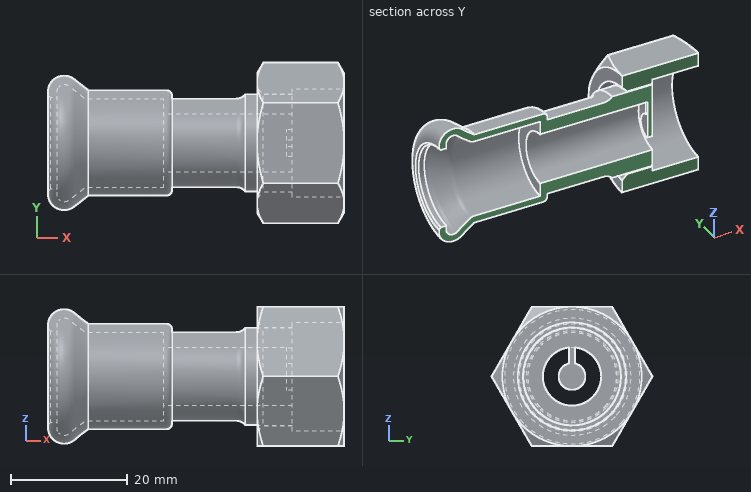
import cadquery as cq
import math

AXIS_START = (0, 0, 0)
AXIS_END = (1, 0, 0)

wall = 1.5
bead_radius = 11.6
bead_tube_radius = 2.8
cone_angle = math.radians(38)
mouth_radius = 15.8 / 2
mouth_chamfer = 0.4
socket_outer_radius = 18.2 / 2
socket_bore_radius = 15.2 / 2
socket_end = 21.4
socket_fillet = 1.0
neck_radius = 15.3 / 2
bore_radius = 10 / 2
collar_radius = 16.8 / 2
collar_start = 34.0
collar_blend_radius = 2.0
depth_in_nut = 6.0

pin_radius = 2.32
pin_length = 1.0
web_width = 1.1
web_overlap = 0.3

nut_start = 36.0
nut_length = 15.0
nut_across_flats = 24.0
nut_chamfer_angle = math.radians(30)
nut_hole_radius = 16.9 / 2
nut_hole_chamfer = 1.0
thread_bore_radius = 18.63 / 2

nut_end = nut_start + nut_length
fitting_end = nut_start + depth_in_nut


def revolve_about_x(outline):
    return outline.close().revolve(360, AXIS_START, AXIS_END)


def point_on_circle(center, radius, angle):
    """Point (X, radial distance); the angle starts radially outward and grows towards +X."""
    return (center[0] + radius * math.sin(angle), center[1] + radius * math.cos(angle))


def make_fitting_shell():
    bead_center = (bead_tube_radius, bead_radius - bead_tube_radius)
    groove_radius = bead_tube_radius - wall
    face_angle = -math.pi / 2
    middle_angle = (face_angle + cone_angle) / 2
    cone_start = point_on_circle(bead_center, bead_tube_radius, cone_angle)
    cone_length = (cone_start[1] - socket_outer_radius) / math.tan(cone_angle)

    cone_end = (cone_start[0] + cone_length, socket_outer_radius)
    corner_angle = math.pi + cone_angle

    blend_rise = collar_radius - neck_radius
    blend_length = math.sqrt(collar_blend_radius**2 - (collar_blend_radius - blend_rise) ** 2)
    socket_floor = socket_end - wall

    return revolve_about_x(
        cq.Workplane("XY")
        .moveTo(0, mouth_radius + mouth_chamfer)
        .lineTo(*point_on_circle(bead_center, bead_tube_radius, face_angle))
        .threePointArc(point_on_circle(bead_center, bead_tube_radius, middle_angle), cone_start)
        .lineTo(*cone_end)
        .lineTo(socket_end - socket_fillet, socket_outer_radius)
        .radiusArc((socket_end, socket_outer_radius - socket_fillet), socket_fillet)
        .lineTo(socket_end, neck_radius)
        .lineTo(collar_start - blend_length, neck_radius)
        .radiusArc((collar_start, collar_radius), -collar_blend_radius)
        .lineTo(fitting_end, collar_radius)
        .lineTo(fitting_end, bore_radius)
        .lineTo(socket_floor, bore_radius)
        .lineTo(socket_floor, socket_bore_radius)
        .lineTo(*point_on_circle(cone_end, wall, math.pi))
        .threePointArc(
            point_on_circle(cone_end, wall, (math.pi + corner_angle) / 2),
            point_on_circle(cone_end, wall, corner_angle),
        )
        .lineTo(*point_on_circle(bead_center, groove_radius, cone_angle))
        .threePointArc(
            point_on_circle(bead_center, groove_radius, middle_angle),
            point_on_circle(bead_center, groove_radius, face_angle),
        )
        .lineTo(wall, mouth_radius)
        .lineTo(mouth_chamfer, mouth_radius)
    )


def make_pin_with_web():
    plane = cq.Workplane("YZ").workplane(offset=fitting_end - pin_length)
    pin = plane.circle(pin_radius).extrude(pin_length)
    web_height = bore_radius + web_overlap
    web = plane.center(0, web_height / 2).rect(web_width, web_height).extrude(pin_length)
    return pin.union(web)


def make_fitting():
    return make_fitting_shell().union(make_pin_with_web())


def make_nut():
    face_radius = nut_across_flats / 2
    corner_radius = face_radius / math.cos(math.pi / 6)
    chamfer_depth = (corner_radius - face_radius) * math.tan(nut_chamfer_angle)

    hexagon = (
        cq.Workplane("YZ")
        .workplane(offset=nut_start)
        .polygon(6, 2 * corner_radius)
        .extrude(nut_length)
    )
    envelope = revolve_about_x(
        cq.Workplane("XY")
        .moveTo(nut_start, 0)
        .lineTo(nut_start, face_radius)
        .lineTo(nut_start + chamfer_depth, corner_radius)
        .lineTo(nut_end - chamfer_depth, corner_radius)
        .lineTo(nut_end, face_radius)
        .lineTo(nut_end, 0)
    )
    bore = revolve_about_x(
        cq.Workplane("XY")
        .moveTo(nut_start, 0)
        .lineTo(nut_start, nut_hole_radius + nut_hole_chamfer)
        .lineTo(nut_start + nut_hole_chamfer, nut_hole_radius)
        .lineTo(fitting_end, nut_hole_radius)
        .lineTo(fitting_end, thread_bore_radius)
        .lineTo(nut_end, thread_bore_radius)
        .lineTo(nut_end, 0)
    )
    return hexagon.intersect(envelope).cut(bore)


fitting = make_fitting().solids()
nut = make_nut().solids()
result = cq.Compound.makeCompound([fitting.val(), nut.val()])